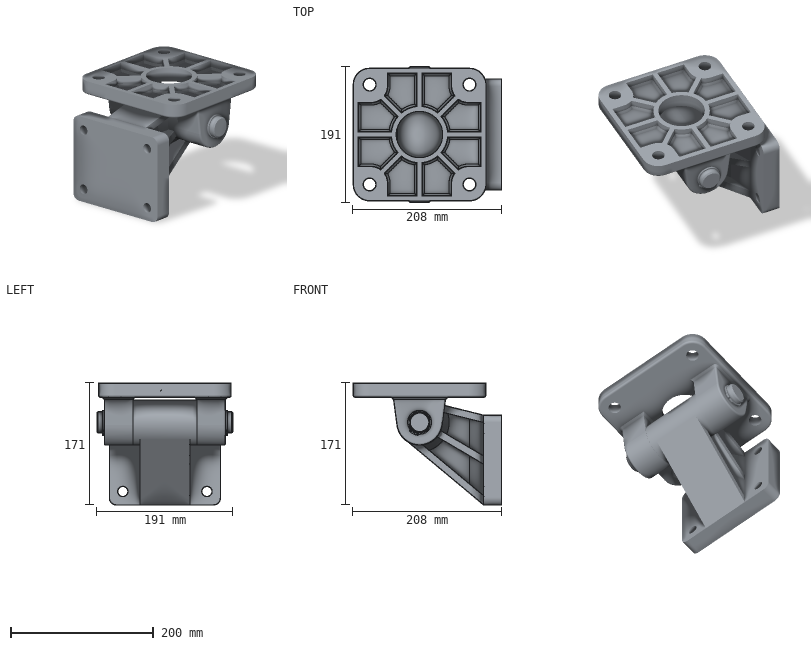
import cadquery as cq
import math


plate_size = 186.0
plate_thickness = 20.0
plate_top = 55.0
plate_bottom = plate_top - plate_thickness
plate_edge_fillet = 3.0
bolt_offset = 70.0
plate_corner_radius = plate_size / 2 - bolt_offset
plate_bolt_diameter = 17.5
center_hole_diameter = 65.0
rib_width = 7.0
diagonal = 45.0
pad_offset = 68.0
pad_radius = 23.0
pocket_depth = 12.0
pocket_draft = 3.0
pocket_floor_chamfer = 3.0

lug_radius = 32.0
lug_inner = 45.0
lug_outer = 85.0
lug_taper = 7.5
lug_edge_fillet = 2.5
lug_root_chamfer = 3.0
selection_margin = 0.1

pin_diameter = 30.0
pin_length = 191.0
pin_chamfer = 2.0
groove_diameter = 28.6
ring_thickness = 2.5
ring_diameter = 33.6
ear_diameter = 37.0
ear_hole_diameter = 2.0
ear_pitch_radius = 16.5
ear_direction = 242.0
ear_hole_angle = 14.5
ear_end_angle = 22.0
ring_gap_angle = 3.0

wall_face = 115.0
wall_thickness = 25.0
wall_front = wall_face - wall_thickness
wall_width = 156.0
wall_top = 10.0
wall_height = 126.0
wall_bottom = wall_top - wall_height
wall_center = (wall_top + wall_bottom) / 2
wall_corner_radius = 10.0
wall_bolt_diameter = 14.0
wall_bolt_inset = 19.0
hub_radius = 31.5
arm_half_width = 35.0
web_half_thickness = 15.0
flange_thickness = 10.0
wall_slope_run = 20.0
collar_width = 10.0


def cylinder_along_y(radius, start, end):
    """Cylinder on the pin axis between two Y positions."""
    return cq.Workplane("XZ", origin=(0, start, 0)).circle(radius).extrude(start - end)


def prism_along_y(sketch_points, start, end):
    """Straight-sided outline in X and Z, extruded between two Y positions."""
    return cq.Workplane("XZ", origin=(0, start, 0)).polyline(sketch_points).close().extrude(start - end)


def polar_point(radius, degrees, center=0.0):
    """Point at an angle on a circle whose centre has both coordinates equal to the given value."""
    angle = math.radians(degrees)
    return (center + radius * math.cos(angle), center + radius * math.sin(angle))


def plate_pocket():
    """Tool for the pocket just above the X axis on the +X side: drafted walls and a chamfered floor."""
    half_rib = rib_width / 2
    rim = plate_size / 2 - rib_width
    collar_radius = center_hole_diameter / 2 + rib_width
    pad_side = pad_offset - pad_radius
    collar_rib_angle = math.degrees(math.asin(half_rib / collar_radius))
    pad_rib_angle = math.degrees(math.asin(half_rib / pad_radius))
    axis_corner = polar_point(collar_radius, collar_rib_angle)
    collar_middle = polar_point(collar_radius, diagonal / 2)
    collar_corner = polar_point(collar_radius, diagonal - collar_rib_angle)
    pad_start = 180 + diagonal + pad_rib_angle
    pad_end = 270
    pad_corner = polar_point(pad_radius, pad_start, pad_offset)
    pad_middle = polar_point(pad_radius, (pad_start + pad_end) / 2, pad_offset)
    return (
        cq.Workplane("XY", origin=(0, 0, plate_top))
        .moveTo(*axis_corner)
        .lineTo(rim, half_rib)
        .lineTo(rim, pad_side)
        .lineTo(pad_offset, pad_side)
        .threePointArc(pad_middle, pad_corner)
        .lineTo(*collar_corner)
        .threePointArc(collar_middle, axis_corner)
        .close()
        .extrude(-pocket_depth, taper=pocket_draft)
        .faces("<Z")
        .chamfer(pocket_floor_chamfer)
    )


def lug():
    """Lug on the -Y side: a tapered tab with a round end and a rounded outer edge."""
    taper = math.radians(lug_taper)
    tangent_x = lug_radius * math.cos(taper)
    tangent_z = -lug_radius * math.sin(taper)
    top_x = tangent_x + (plate_bottom - tangent_z) * math.tan(taper)
    return (
        cq.Workplane("XZ", origin=(0, -lug_inner, 0))
        .moveTo(-top_x, plate_bottom)
        .lineTo(-tangent_x, tangent_z)
        .threePointArc((0, -lug_radius), (tangent_x, tangent_z))
        .lineTo(top_x, plate_bottom)
        .close()
        .extrude(lug_outer - lug_inner)
        .faces("<Y")
        .edges("not(>Z)")
        .fillet(lug_edge_fillet)
    )


def make_top_plate():
    plate = (
        cq.Workplane("XY", origin=(0, 0, plate_bottom))
        .rect(plate_size, plate_size)
        .extrude(plate_thickness)
        .edges("|Z")
        .fillet(plate_corner_radius)
        .faces("<Z")
        .edges()
        .fillet(plate_edge_fillet)
    )
    near_lug = lug()
    plate = plate.union(near_lug).union(near_lug.mirror("XZ"))
    root_box = plate_size - 2 * plate_edge_fillet
    lug_roots = cq.selectors.BoxSelector(
        (-root_box / 2, -root_box / 2, plate_bottom - selection_margin),
        (root_box / 2, root_box / 2, plate_bottom + selection_margin),
    )
    plate = plate.edges(lug_roots).chamfer(lug_root_chamfer)
    plate = plate.cut(
        cq.Workplane("XY", origin=(0, 0, plate_bottom))
        .circle(center_hole_diameter / 2)
        .rect(2 * bolt_offset, 2 * bolt_offset, forConstruction=True)
        .vertices()
        .circle(plate_bolt_diameter / 2)
        .extrude(plate_thickness)
    )
    pocket = plate_pocket()
    mirrored_pocket = pocket.mirror("XZ")
    for quarter in range(4):
        for tool in (pocket, mirrored_pocket):
            plate = plate.cut(tool.rotate((0, 0, 0), (0, 0, 1), 90 * quarter))
    return plate.cut(cylinder_along_y(pin_diameter / 2, -lug_outer, lug_outer))


def tangent_angle(corner_x, corner_z):
    """Tilt of the normal, from the Z axis, of the line through a corner that touches the hub."""
    return math.asin(hub_radius / math.hypot(corner_x, corner_z)) - math.atan2(corner_z, corner_x)


def arm_outline(inset):
    """Arm outline between the hub and the wall plate, moved inward by the inset."""
    radius = hub_radius - inset
    upper = tangent_angle(wall_front, wall_top)
    lower = tangent_angle(wall_front, -wall_bottom)
    return [
        (radius * math.sin(upper), radius * math.cos(upper)),
        (wall_front, wall_top - inset / math.cos(upper)),
        (wall_front, wall_bottom + inset / math.cos(lower)),
        (radius * math.sin(lower), -radius * math.cos(lower)),
    ]


def arm_pocket():
    """Tool for the pockets on the -Y side of the arm, split by the middle rib."""
    pocket = prism_along_y(arm_outline(flange_thickness), -arm_half_width, -web_half_thickness)
    cone_radius = hub_radius + collar_width
    cone_tip = -web_half_thickness - cone_radius
    collar = (
        cq.Workplane("XY")
        .moveTo(0, cone_tip)
        .lineTo(cone_radius, -web_half_thickness)
        .lineTo(0, -web_half_thickness)
        .close()
        .revolve(360, (0, 0, 0), (0, 1, 0))
    )
    wall_slope = (
        cq.Workplane("XY", origin=(0, 0, wall_bottom))
        .moveTo(wall_front, -arm_half_width)
        .lineTo(wall_front, -web_half_thickness)
        .lineTo(wall_front - wall_slope_run, -web_half_thickness)
        .close()
        .extrude(wall_height)
    )
    rib_angle = math.degrees(math.atan2(-wall_center, wall_front))
    middle_rib = (
        cq.Workplane("XY")
        .box(2 * wall_face, 2 * arm_half_width, flange_thickness)
        .rotate((0, 0, 0), (0, 1, 0), rib_angle)
    )
    return pocket.cut(collar).cut(wall_slope).cut(middle_rib)


def make_bracket():
    bracket = (
        cq.Workplane("YZ", origin=(wall_front, 0, wall_center))
        .rect(wall_width, wall_height)
        .extrude(wall_thickness)
        .edges("|X")
        .fillet(wall_corner_radius)
    )
    bracket = bracket.cut(
        cq.Workplane("YZ", origin=(wall_front, 0, wall_center))
        .rect(wall_width - 2 * wall_bolt_inset, wall_height - 2 * wall_bolt_inset, forConstruction=True)
        .vertices()
        .circle(wall_bolt_diameter / 2)
        .extrude(wall_thickness)
    )
    pocket = arm_pocket()
    arm = prism_along_y(arm_outline(0), -arm_half_width, arm_half_width)
    arm = arm.cut(pocket).cut(pocket.mirror("XZ"))
    arm = arm.union(cylinder_along_y(hub_radius, -lug_inner, lug_inner))
    return bracket.union(arm).cut(cylinder_along_y(pin_diameter / 2, -lug_inner, lug_inner))


def make_pin():
    pin = cylinder_along_y(pin_diameter / 2, -pin_length / 2, pin_length / 2)
    pin = pin.faces("<Y or >Y").chamfer(pin_chamfer)
    groove = cylinder_along_y(pin_diameter / 2, -lug_outer - ring_thickness, -lug_outer).cut(
        cylinder_along_y(groove_diameter / 2, -lug_outer - ring_thickness, -lug_outer)
    )
    return pin.cut(groove).cut(groove.mirror("XZ"))


def ring_sector(half_angle):
    """Wedge from the pin axis, centred on the direction of the ears, as thick as the ring."""
    corners = [(0, 0)]
    for side in (-1, 1):
        corners.append(polar_point(ear_diameter, ear_direction + side * half_angle))
    return prism_along_y(corners, -lug_outer - ring_thickness, -lug_outer)


def make_retaining_ring():
    """Open ring in the groove at the -Y end of the pin, with a drilled ear at each side of its gap."""
    outer_end = -lug_outer - ring_thickness
    holes = []
    for side in (-1, 1):
        holes.append(polar_point(ear_pitch_radius, ear_direction + side * ear_hole_angle))
    hole_tools = (
        cq.Workplane("XZ", origin=(0, -lug_outer, 0))
        .pushPoints(holes)
        .circle(ear_hole_diameter / 2)
        .extrude(ring_thickness)
    )
    ears = cylinder_along_y(ear_diameter / 2, outer_end, -lug_outer).intersect(ring_sector(ear_end_angle))
    return (
        cylinder_along_y(ring_diameter / 2, outer_end, -lug_outer)
        .union(ears)
        .cut(cylinder_along_y(groove_diameter / 2, outer_end, -lug_outer))
        .cut(ring_sector(ring_gap_angle))
        .cut(hole_tools)
    )


top_plate = make_top_plate()
bracket = make_bracket()
pin = make_pin()
near_ring = make_retaining_ring()
retaining_rings = [near_ring, near_ring.mirror("XZ")]

result = cq.Compound.makeCompound(
    [top_plate.val(), bracket.val(), pin.val(), *[ring.val() for ring in retaining_rings]]
)